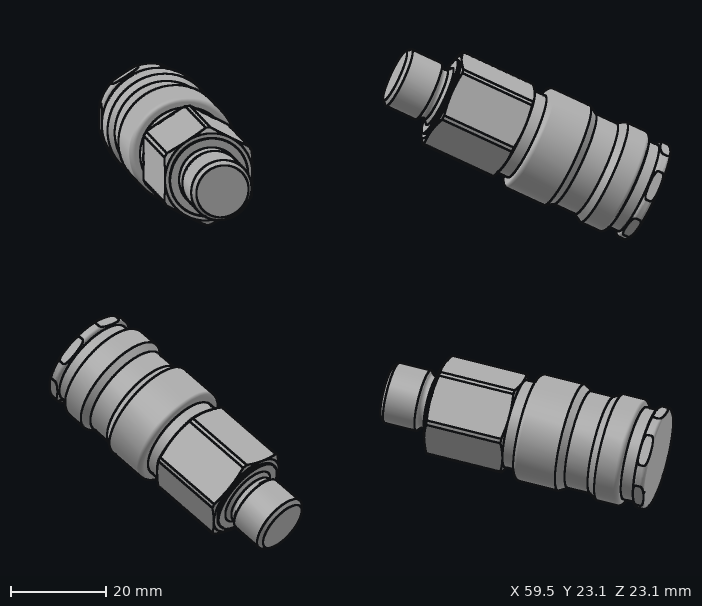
import cadquery as cq
import math


total_length = 59.5

cap_length = 2.5
cap_diameter = 22.0
cap_across_flats = 21.0
cap_edge_radius = 0.85

collar_diameter = 20.0
shaft_diameter = 18.9

sleeve_start_x = 5.25
sleeve_end_x = 28.7
sleeve_diameter = 23.15
sleeve_edge_radius = 1.0
waist_start_x = 12.4
waist_end_x = 17.45
waist_diameter = 21.0
waist_taper_length = 1.8

hex_start_x = 31.4
hex_end_x = 48.6
hex_across_flats = 19.05
hex_corner_diameter = 21.4
hex_chamfer_length = 0.4

seal_end_x = 49.0
seal_diameter = 17.0
thread_start_x = 51.7
thread_diameter = 13.15
thread_chamfer = 0.9
undercut_taper = 0.9
undercut_runout = 0.4
undercut_arc_radius = 1.0


def cylinder(start_x, end_x, diameter):
    """Round bar along X between two stations."""
    return cq.Workplane("YZ", origin=(start_x, 0, 0)).circle(diameter / 2).extrude(end_x - start_x)


def hexagon_bar(start_x, end_x, across_flats):
    """Hexagonal bar along X with one pair of flats facing +Y and -Y."""
    across_corners = across_flats / math.cos(math.pi / 6)
    return (
        cq.Workplane("YZ", origin=(start_x, 0, 0))
        .transformed(rotate=(0, 0, 90))
        .polygon(6, across_corners)
        .extrude(end_x - start_x)
    )


def revolve_about_x(profile):
    """Turn a closed half profile, drawn in XY, into a solid around the X axis."""
    return profile.close().revolve(360, (0, 0, 0), (1, 0, 0))


def make_cap():
    """Flange with rounded rims, cut by six flats."""
    disc = cylinder(0, cap_length, cap_diameter).edges().fillet(cap_edge_radius)
    return disc.intersect(hexagon_bar(0, cap_length, cap_across_flats))


def make_hex_section():
    """Wrench hexagon with turned corners and shallow conical chamfers on both ends."""
    flat_radius = hex_across_flats / 2
    corner_radius = hex_corner_diameter / 2
    turned_blank = revolve_about_x(
        cq.Workplane("XY")
        .moveTo(hex_start_x, 0)
        .lineTo(hex_start_x, flat_radius)
        .lineTo(hex_start_x + hex_chamfer_length, corner_radius)
        .lineTo(hex_end_x - hex_chamfer_length, corner_radius)
        .lineTo(hex_end_x, flat_radius)
        .lineTo(hex_end_x, 0)
    )
    return turned_blank.intersect(hexagon_bar(hex_start_x, hex_end_x, hex_across_flats))


def make_threaded_end():
    """Seal face, 45 degree tapers into a round-bottomed undercut, and chamfered thread cylinder."""
    thread_radius = thread_diameter / 2
    runout_point = (thread_start_x - undercut_runout, thread_radius - undercut_runout)
    return revolve_about_x(
        cq.Workplane("XY")
        .moveTo(hex_end_x, 0)
        .lineTo(hex_end_x, seal_diameter / 2)
        .lineTo(seal_end_x, seal_diameter / 2)
        .lineTo(seal_end_x, thread_radius)
        .lineTo(seal_end_x + undercut_taper, thread_radius - undercut_taper)
        .radiusArc(runout_point, -undercut_arc_radius)
        .lineTo(thread_start_x, thread_radius)
        .lineTo(total_length - thread_chamfer, thread_radius)
        .lineTo(total_length, thread_radius - thread_chamfer)
        .lineTo(total_length, 0)
    )


def make_body():
    """Coupling body: cap, collar, shaft, hexagon and threaded end in one piece."""
    collar = cylinder(cap_length, sleeve_start_x, collar_diameter)
    shaft = cylinder(sleeve_start_x, hex_start_x, shaft_diameter)
    return make_cap().union(collar).union(shaft).union(make_hex_section()).union(make_threaded_end())


def make_sleeve():
    """Sliding sleeve with a tapered waist and rounded ends, bored to fit the shaft."""
    outer_radius = sleeve_diameter / 2
    waist_radius = waist_diameter / 2
    bore_radius = shaft_diameter / 2
    rim_radius = outer_radius - sleeve_edge_radius
    return revolve_about_x(
        cq.Workplane("XY")
        .moveTo(sleeve_start_x, bore_radius)
        .lineTo(sleeve_start_x, rim_radius)
        .radiusArc((sleeve_start_x + sleeve_edge_radius, outer_radius), sleeve_edge_radius)
        .lineTo(waist_start_x - waist_taper_length, outer_radius)
        .lineTo(waist_start_x, waist_radius)
        .lineTo(waist_end_x, waist_radius)
        .lineTo(waist_end_x + waist_taper_length, outer_radius)
        .lineTo(sleeve_end_x - sleeve_edge_radius, outer_radius)
        .radiusArc((sleeve_end_x, rim_radius), sleeve_edge_radius)
        .lineTo(sleeve_end_x, bore_radius)
    )


body = make_body()
sleeve = make_sleeve()

result = cq.Compound.makeCompound([body.val(), sleeve.val()])